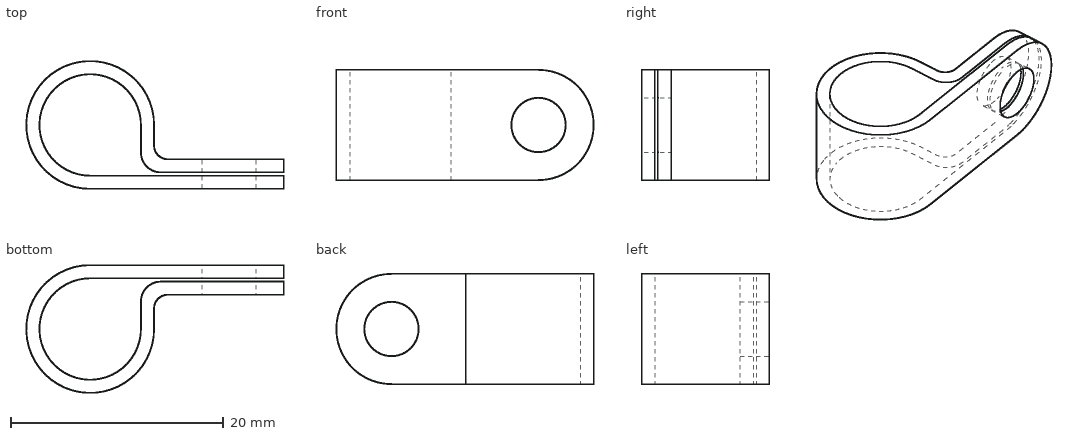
import cadquery as cq
import math

loop_diameter = 12.05
strap_thickness = 1.25
strap_width = 10.4
overall_length = 24.25
tab_gap = 0.3
bend_outer_radius = 1.9
bend_inner_radius = 1.25
hole_diameter = 5.1

outer_radius = loop_diameter / 2
inner_radius = outer_radius - strap_thickness
tab_end = overall_length - outer_radius
tab_radius = strap_width / 2
hole_x = tab_end - tab_radius
upper_tab_bottom = -inner_radius + tab_gap
upper_tab_top = upper_tab_bottom + strap_thickness


def loop_profile(radius, bend_radius, upper_y):
    """Closed outline of a loop, its straight side, bend and tab, down to the lower tab."""
    return (
        cq.Workplane("XY", origin=(0, 0, -strap_width / 2))
        .moveTo(0, -radius)
        .threePointArc((-radius / math.sqrt(2), radius / math.sqrt(2)), (radius, 0))
        .lineTo(radius, upper_y + bend_radius)
        .radiusArc((radius + bend_radius, upper_y), -bend_radius)
        .lineTo(tab_end, upper_y)
        .lineTo(tab_end, -radius)
        .close()
        .extrude(strap_width)
    )


def across_tabs():
    """Workplane at the front of the clamp, facing the tabs; extrude backwards along +Y."""
    return cq.Workplane("XZ", origin=(0, -outer_radius, 0))


def rounded_envelope():
    """Front outline of the clamp: square at the loop, round at the tab end."""
    return (
        across_tabs()
        .moveTo(-outer_radius, -tab_radius)
        .lineTo(hole_x, -tab_radius)
        .threePointArc((tab_end, 0), (hole_x, tab_radius))
        .lineTo(-outer_radius, tab_radius)
        .close()
        .extrude(-loop_diameter)
    )


def screw_hole():
    """Round hole through both tabs, concentric with their ends."""
    return across_tabs().center(hole_x, 0).circle(hole_diameter / 2).extrude(-loop_diameter)


strap = loop_profile(outer_radius, bend_inner_radius, upper_tab_top).cut(
    loop_profile(inner_radius, bend_outer_radius, upper_tab_bottom)
)
result = strap.intersect(rounded_envelope()).cut(screw_hole())